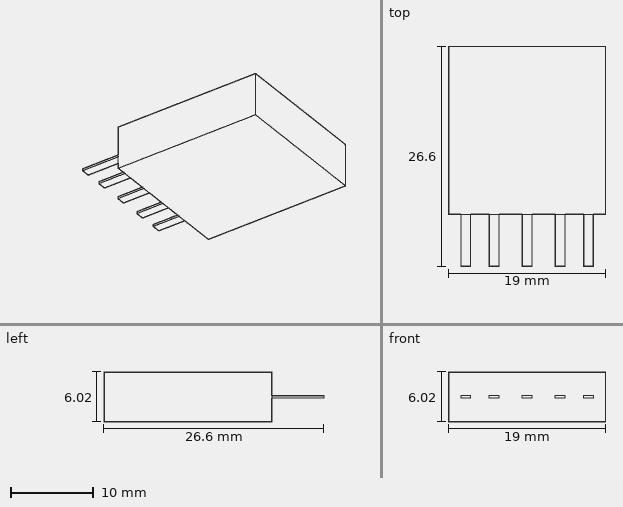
import cadquery as cq

overall_length = 26.65
body_width = 19.0
body_height = 6.02
pin_length = 6.32
body_length = overall_length - pin_length

pin_width = 1.2
pin_thickness = 0.3
inner_pin_offset = 4.0
outer_pin_offset = 7.44
pin_positions = [
    -outer_pin_offset,
    -inner_pin_offset,
    0,
    inner_pin_offset,
    outer_pin_offset,
]


def make_body():
    """Plain block with its -Y face on the XZ plane."""
    return cq.Workplane("XY").box(body_width, body_length, body_height, centered=(True, False, True))


def make_pins():
    """Row of pins at mid-height, running from the body's -Y face towards -Y."""
    return (
        cq.Workplane("XZ")
        .pushPoints([(x, 0) for x in pin_positions])
        .rect(pin_width, pin_thickness)
        .extrude(pin_length)
    )


result = make_body().union(make_pins())